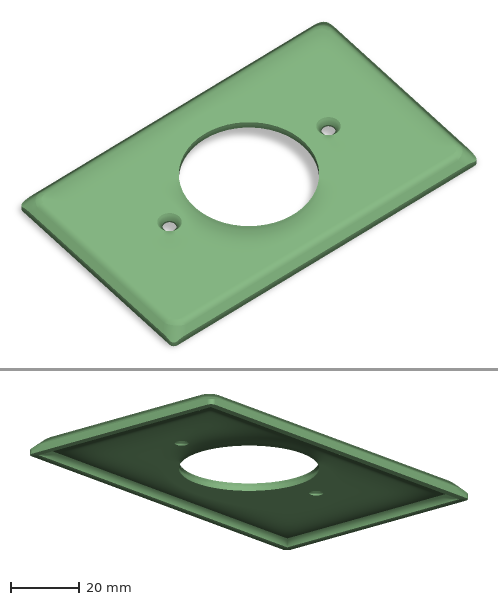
import cadquery as cq
import math

width = 71.5
length = 115.9
height = 5.1

bevel_height = 2.8
bevel_angle = 45.0
hip_radius = 6.4
rim_radius = 3.1
corner_radius = 1.6

face_thickness = 2.3
wall_thickness = face_thickness

outlet_diameter = 41.2
screw_diameter = 4.2
countersink_diameter = 7.2
countersink_angle = 82.0
screw_offset = 30.1


def bevelled_blank():
    """Rounded block under a bevelled top with softened hips and rim."""
    bevel_start = height - bevel_height
    flare = 2 * bevel_start * math.tan(math.radians(bevel_angle))
    hipped_top = (
        cq.Workplane("XY")
        .rect(width + flare, length + flare)
        .extrude(height, taper=bevel_angle)
        .edges("not(#Z)")
        .fillet(hip_radius)
        .faces(">Z")
        .edges()
        .fillet(rim_radius)
    )
    block = (
        cq.Workplane("XY")
        .rect(width, length)
        .extrude(height)
        .edges("|Z")
        .fillet(corner_radius)
    )
    return block.intersect(hipped_top)


def underside_pocket():
    """Space behind the face, open at the bottom."""
    return (
        cq.Workplane("XY")
        .rect(width - 2 * wall_thickness, length - 2 * wall_thickness)
        .extrude(height - face_thickness)
    )


def cut_openings(plate):
    """Round outlet opening with a countersunk screw hole on either side along Y."""
    opened = (
        plate.faces(">Z")
        .workplane(origin=(0, 0, height))
        .hole(outlet_diameter)
    )
    return (
        opened.faces(">Z")
        .workplane(origin=(0, 0, height))
        .pushPoints([(0, -screw_offset), (0, screw_offset)])
        .cskHole(screw_diameter, countersink_diameter, countersink_angle)
    )


hollow_plate = bevelled_blank().cut(underside_pocket())
result = cut_openings(hollow_plate)